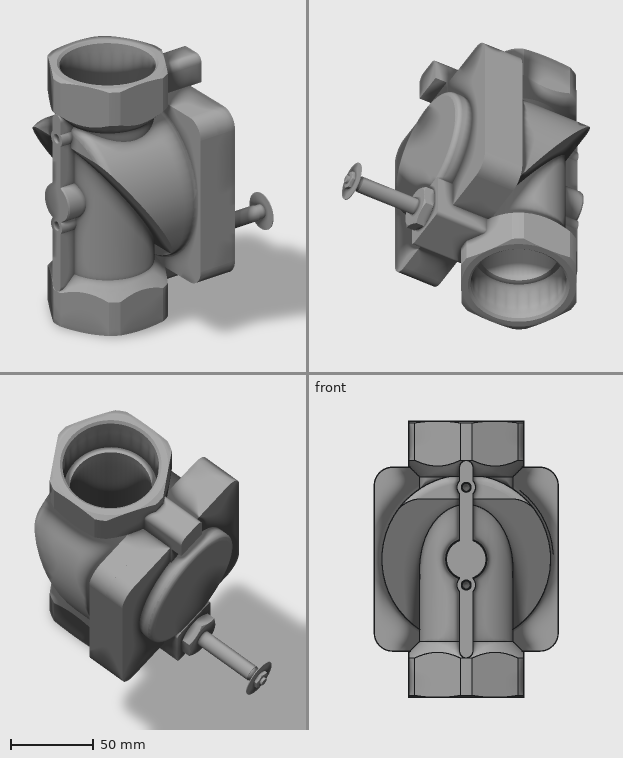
import cadquery as cq
import math


hexagon_half_angle = 30.0
bore_d = 50.0
pipe_d = 56.8
half_length = 84.0
end_across_flats = 70.0
end_corner_d = 77.0
end_cone_start = 50.0
end_chamfer_height = 1.2

thread_mouth_d = 61.8
thread_outer_d = 58.7
thread_inner_d = 57.0
thread_depth = 30.0

flange_size = 112.0
flange_corner_r = 11.3
flange_half_thickness = 12.95
flange_front = 29.0
parting_plane = flange_front + flange_half_thickness
flange_back = parting_plane + flange_half_thickness

chamber_d = 102.6
chamber_front = -30.8
chamber_edge_r = 5.0
chamber_root_r = 1.7
slope_top_z = 36.6
slope_angle = 53.9

rib_front = -38.6
rib_width = 8.0
rib_half_length = 60.0
boss_d = 25.0
boss_chamfer = 1.0
tapped_boss_d = 11.3
tapped_boss_heights = (43.7, -15.7)
tap_d = 4.92
tap_mouth_d = 6.0
tap_depth = 8.0
drill_tip_angle = 118.0

upper_block_width = 20.0
upper_block_bottom = 55.8
upper_block_top = 73.8
upper_block_r = 5.0
upper_block_back = 63.6
lower_block_size = 32.0
lower_block_r = 2.5
lower_block_back = 65.4
web_back = 55.8

dome_d = 79.4
dome_back = 64.8
dome_edge_r = 3.2

tube_z = -51.8
tube_nut_across_flats = 24.0
tube_nut_end = 72.3
tube_d = 10.0
tube_end = 111.2
neck_d = 9.0
washer_d = 24.0
washer_start = 116.1
washer_thickness = 0.5
small_nut_across_flats = 10.0
small_nut_end = 118.9
tip_d = 5.0
tip_end = 120.5
nut_chamfer_angle = 25.0


def from_y(y, z=0.0):
    """Workplane at the given Y; a negative extrusion runs toward +Y."""
    return cq.Workplane("XZ", origin=(0, y, z))


def cylinder_y(diameter, y_start, y_end, z=0.0):
    return from_y(y_start, z).circle(diameter / 2).extrude(y_start - y_end)


def hexagon_nut_y(across_flats, y_start, y_end, z):
    """Hexagon nut along Y, corners up and down, with both faces turned at the corners."""
    across_corners = across_flats / math.cos(math.radians(hexagon_half_angle))
    turned_width = (across_corners - across_flats) / 2
    turned_height = turned_width * math.tan(math.radians(nut_chamfer_angle))
    prism = (
        from_y(y_start, z)
        .polygon(6, across_corners)
        .extrude(y_start - y_end)
        .rotate((0, 0, z), (0, 1, z), hexagon_half_angle)
    )
    middle_start = y_start + turned_height
    middle_end = y_end - turned_height
    turned = (
        cq.Workplane("XY", origin=(0, 0, z))
        .moveTo(0, y_start)
        .lineTo(across_flats / 2, y_start)
        .lineTo(across_corners / 2, middle_start)
        .lineTo(across_corners / 2, middle_end)
        .lineTo(across_flats / 2, y_end)
        .lineTo(0, y_end)
        .close()
        .revolve(360, (0, 0), (0, 1))
    )
    return prism.intersect(turned)


def flange_plate(y_start, y_end):
    return (
        from_y(y_start)
        .rect(flange_size, flange_size)
        .extrude(y_start - y_end)
        .edges("|Y")
        .fillet(flange_corner_r)
    )


def upper_block(y_start, y_end):
    height = upper_block_top - upper_block_bottom
    middle = (upper_block_top + upper_block_bottom) / 2
    return (
        from_y(y_start, middle)
        .rect(upper_block_width, height)
        .extrude(y_start - y_end)
        .edges("|Y and >Z")
        .fillet(upper_block_r)
    )


def lower_block(y_start, y_end):
    return (
        from_y(y_start, tube_z)
        .rect(lower_block_size, lower_block_size)
        .extrude(y_start - y_end)
        .edges("|Y")
        .fillet(lower_block_r)
    )


def pipe_end():
    """Upper hexagon end: a cone behind it, corners turned round, mouth chamfered."""
    pipe_r = pipe_d / 2
    corner_r = end_corner_d / 2
    turned = (
        cq.Workplane("XZ")
        .moveTo(0, end_cone_start)
        .lineTo(pipe_r, end_cone_start)
        .lineTo(corner_r, end_cone_start + corner_r - pipe_r)
        .lineTo(corner_r, half_length - end_chamfer_height)
        .lineTo(end_across_flats / 2, half_length)
        .lineTo(0, half_length)
        .close()
        .revolve(360, (0, 0), (0, 1))
    )
    hexagon = (
        cq.Workplane("XY", origin=(0, 0, end_cone_start))
        .polygon(6, end_across_flats / math.cos(math.radians(hexagon_half_angle)))
        .extrude(half_length - end_cone_start)
        .rotate((0, 0, 0), (0, 0, 1), hexagon_half_angle)
    )
    return turned.intersect(hexagon)


def thread_recess():
    return (
        cq.Workplane("XZ")
        .moveTo(0, half_length - thread_depth)
        .lineTo(thread_inner_d / 2, half_length - thread_depth)
        .lineTo(thread_outer_d / 2, half_length - (thread_mouth_d - thread_outer_d) / 2)
        .lineTo(thread_mouth_d / 2, half_length)
        .lineTo(0, half_length)
        .close()
        .revolve(360, (0, 0), (0, 1))
    )


def chamber():
    """Round chamber with its sloping cut; the rounded root at the flange stays whole."""
    radius = chamber_d / 2
    root_front = flange_front - chamber_root_r
    body = cylinder_y(chamber_d, chamber_front, flange_front)
    body = body.faces("<Y").edges().fillet(chamber_edge_r)
    root = (
        cq.Workplane("XY")
        .moveTo(0, flange_front)
        .lineTo(radius + chamber_root_r, flange_front)
        .radiusArc((radius, root_front), -chamber_root_r)
        .lineTo(0, root_front)
        .close()
        .revolve(360, (0, 0), (0, 1))
    )
    length = root_front - chamber_front
    drop = length * math.tan(math.radians(slope_angle))
    below = (
        cq.Workplane("YZ", origin=(-flange_size / 2, 0, 0))
        .moveTo(chamber_front, slope_top_z)
        .lineTo(root_front, slope_top_z - drop)
        .lineTo(root_front, -flange_size)
        .lineTo(chamber_front, -flange_size)
        .close()
        .extrude(flange_size)
    )
    return body.cut(below).union(root)


def front_rib():
    """Rib along Z with the round boss and the two tapped bosses on it."""
    rib = from_y(rib_front).slot2D(2 * rib_half_length, rib_width, 90).extrude(rib_front)
    boss = cylinder_y(boss_d, rib_front, 0).faces("<Y").chamfer(boss_chamfer, boss_chamfer / 2)
    rib = rib.union(boss)
    for height in tapped_boss_heights:
        rib = rib.union(cylinder_y(tapped_boss_d, rib_front, 0, height))
    return rib


def tapped_hole(height):
    """Blind hole with a countersunk mouth and a drill tip, opening to -Y."""
    mouth_r = tap_mouth_d / 2
    tap_r = tap_d / 2
    bottom = rib_front + tap_depth
    tip = tap_r / math.tan(math.radians(drill_tip_angle / 2))
    return (
        cq.Workplane("XY", origin=(0, 0, height))
        .moveTo(0, rib_front)
        .lineTo(mouth_r, rib_front)
        .lineTo(tap_r, rib_front + mouth_r - tap_r)
        .lineTo(tap_r, bottom)
        .lineTo(0, bottom + tip)
        .close()
        .revolve(360, (0, 0), (0, 1))
    )


def make_housing():
    body = cq.Workplane("XY").circle(pipe_d / 2).extrude(end_cone_start, both=True)
    body = body.union(chamber())
    body = body.union(flange_plate(flange_front, parting_plane))
    body = body.union(front_rib())
    end = pipe_end()
    body = body.union(end).union(end.mirror("XY"))
    body = body.union(upper_block(flange_front, parting_plane))
    body = body.union(lower_block(flange_front, parting_plane))
    recess = thread_recess()
    body = body.cut(recess).cut(recess.mirror("XY"))
    body = body.cut(cq.Workplane("XY").circle(bore_d / 2).extrude(half_length, both=True))
    for height in tapped_boss_heights:
        body = body.cut(tapped_hole(height))
    return body


def armature_tube():
    """Tube on the lower block: fixing nut, stepped tube, washer, small nut and tip."""
    washer_end = washer_start + washer_thickness
    tube = hexagon_nut_y(tube_nut_across_flats, lower_block_back, tube_nut_end, tube_z)
    tube = tube.union(cylinder_y(tube_d, tube_nut_end, tube_end, tube_z))
    tube = tube.union(cylinder_y(neck_d, tube_end, washer_start, tube_z))
    tube = tube.union(cylinder_y(washer_d, washer_start, washer_end, tube_z))
    tube = tube.union(hexagon_nut_y(small_nut_across_flats, washer_end, small_nut_end, tube_z))
    return tube.union(cylinder_y(tip_d, small_nut_end, tip_end, tube_z))


def make_cover():
    body = flange_plate(parting_plane, flange_back)
    dome = cylinder_y(dome_d, flange_back, dome_back).faces(">Y").edges().fillet(dome_edge_r)
    body = body.union(dome)
    web = cq.Workplane("XY").box(
        upper_block_width, web_back - parting_plane, upper_block_bottom, centered=(True, False, False)
    )
    body = body.union(web.translate((0, parting_plane, 0)))
    body = body.union(upper_block(parting_plane, upper_block_back))
    body = body.union(lower_block(parting_plane, lower_block_back))
    return body.union(armature_tube())


housing = make_housing()
cover = make_cover()

result = cq.Compound.makeCompound([housing.val(), cover.val()])